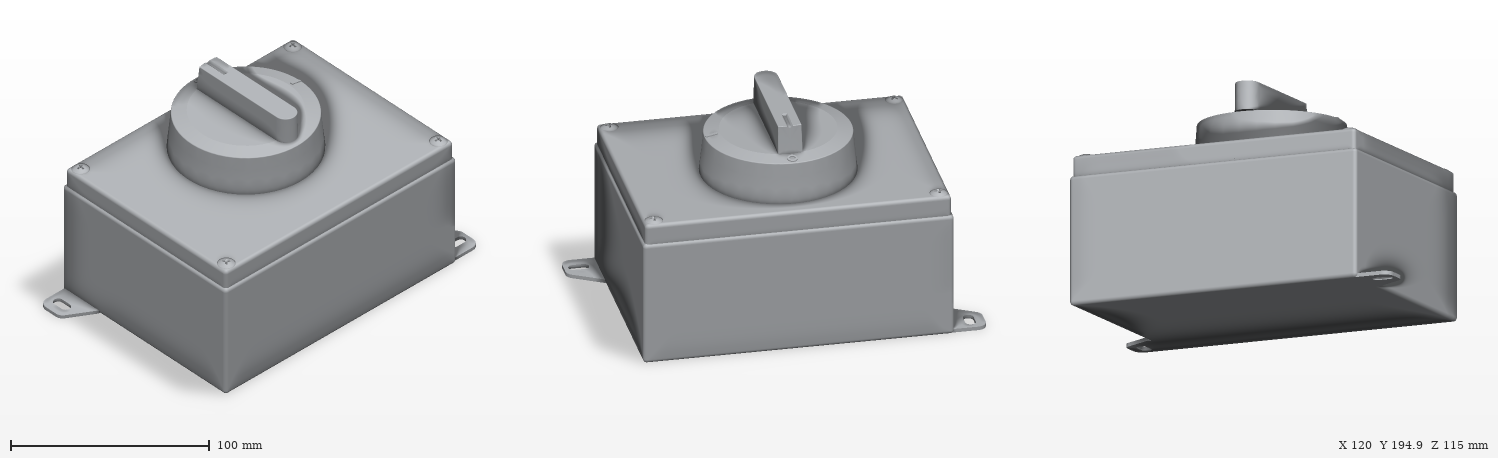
import cadquery as cq
import math

BOX_X = 120.0
BOX_Y = 159.9
BOX_SHOULDER = 66.5
BOX_TOP = 67.0
EDGE_RADIUS = 2.0

EAR_THICKNESS = 2.0
EAR_REACH = 17.5
EAR_SIDE_INSET = 1.8
EAR_ROOT_WIDTH = 25.2
EAR_SLOPE = 60.0
EAR_CORNER_RADIUS = 4.9
EAR_SLOT_LENGTH = 10.7
EAR_SLOT_WIDTH = 5.5
EAR_SLOT_X = 49.5
EAR_SLOT_Y = 89.9

LID_INSET = 1.2
LID_X = BOX_X - 2 * LID_INSET
LID_Y = BOX_Y - 2 * LID_INSET
LID_TOP = 77.0

SCREW_X = 53.5
SCREW_Y = 73.3
SCREW_RADIUS = 4.7
SCREW_DOME_RADIUS = 4.3
SCREW_SEAT = 76.6
SCREW_TOP = 78.4
DOME_RISE = SCREW_TOP - LID_TOP
DOME_SPHERE_RADIUS = (SCREW_DOME_RADIUS**2 + DOME_RISE**2) / (2 * DOME_RISE)
CROSS_LENGTH = 5.5
CROSS_WIDTH = 1.2
CROSS_DEPTH = 2.0
SKEWED_TURN = 45.0

KNOB_X = -10.0
DIAL_BASE_RADIUS = 40.0
DIAL_RIM_RADIUS = 37.8
DIAL_RIM_Z = 98.7
DIAL_FACE_RADIUS = 29.8
DIAL_FACE_Z = 100.2
DIAL_EDGE_RADIUS = 0.5

GRIP_TOP = 115.0
GRIP_WIDTH = 12.7
GRIP_EDGE_RADIUS = 0.4
GRIP_NOSE_REACH = 35.3
GRIP_DRAFT = 1.0
GRIP_TAIL_RADIUS = 30.2
GRIP_TAIL_TAPER = 1.8
GRIP_GROOVE_WIDTH = 3.1
GRIP_GROOVE_END = -14.5
GRIP_GROOVE_DEPTH = 1.0
GRIP_GROOVE_DRAFT = 45.0

MARK_HEIGHT = 0.5
MARK_BAR_WIDTH = 1.8
MARK_BAR_INNER = 31.2
MARK_BAR_OUTER = 37.2
MARK_RING_CENTRE = 34.3
MARK_RING_OUTER = 2.5
MARK_RING_INNER = 1.5


def rounded_block(size_x, size_y, bottom, top, rounded_edges):
    """Block with rounded upright edges and the given horizontal edges rounded too."""
    block = cq.Workplane("XY", origin=(0, 0, bottom)).rect(size_x, size_y).extrude(top - bottom)
    return block.edges(rounded_edges).fillet(EDGE_RADIUS)


def make_ear(slot_angle):
    """Mounting ear at the -X end of the -Y side of the box."""
    side_x = -BOX_X / 2 + EAR_SIDE_INSET
    root_y = -BOX_Y / 2
    tip_y = root_y - EAR_REACH
    root_end_x = side_x + EAR_ROOT_WIDTH
    tip_end_x = root_end_x - EAR_REACH / math.tan(math.radians(EAR_SLOPE))
    inner_y = root_y + 2 * EDGE_RADIUS
    ear = (
        cq.Workplane("XY")
        .polyline([
            (side_x, inner_y), (side_x, tip_y), (tip_end_x, tip_y),
            (root_end_x, root_y), (root_end_x, inner_y),
        ])
        .close()
        .extrude(EAR_THICKNESS)
        .edges("|Z and <Y")
        .fillet(EAR_CORNER_RADIUS)
    )
    slot = (
        cq.Workplane("XY", origin=(-EAR_SLOT_X, -EAR_SLOT_Y, 0))
        .slot2D(EAR_SLOT_LENGTH, EAR_SLOT_WIDTH, slot_angle)
        .extrude(EAR_THICKNESS)
    )
    return ear.cut(slot)


def make_box():
    block = rounded_block(BOX_X, BOX_Y, 0, BOX_SHOULDER, "|Z or >Z or <Z")
    collar = rounded_block(LID_X, LID_Y, BOX_SHOULDER - EDGE_RADIUS, BOX_TOP, "|Z")
    near_ear = make_ear(0)
    far_ear = make_ear(90).rotate((0, 0, 0), (0, 0, 1), 180)
    return block.union(collar).union(near_ear).union(far_ear)


def make_screw(x, y, turn):
    """Screw head with a domed top and a cross recess turned by the given angle."""
    head = (
        cq.Workplane("XZ")
        .moveTo(0, SCREW_SEAT)
        .lineTo(SCREW_RADIUS, SCREW_SEAT)
        .lineTo(SCREW_DOME_RADIUS, LID_TOP)
        .radiusArc((0, SCREW_TOP), -DOME_SPHERE_RADIUS)
        .close()
        .revolve(360, (0, 0), (0, 1))
    )
    arm = (
        cq.Workplane("XZ")
        .polyline([
            (-CROSS_LENGTH / 2, SCREW_TOP), (0, SCREW_TOP - CROSS_DEPTH), (CROSS_LENGTH / 2, SCREW_TOP),
        ])
        .close()
        .extrude(CROSS_WIDTH / 2, both=True)
    )
    for angle in (turn, turn + 90):
        head = head.cut(arm.rotate((0, 0, 0), (0, 0, 1), angle))
    return head.translate((x, y, 0))


def make_lid():
    lid = rounded_block(LID_X, LID_Y, BOX_TOP, LID_TOP, "|Z or >Z")
    seats = (
        cq.Workplane("XY", origin=(0, 0, SCREW_SEAT))
        .rect(2 * SCREW_X, 2 * SCREW_Y, forConstruction=True)
        .vertices()
        .circle(SCREW_RADIUS)
        .extrude(LID_TOP - SCREW_SEAT)
    )
    return lid.cut(seats)


def make_dial():
    """Conical dial body with a shallow cone rising to a flat face."""
    profile = [
        (0, LID_TOP), (DIAL_BASE_RADIUS, LID_TOP), (DIAL_RIM_RADIUS, DIAL_RIM_Z),
        (DIAL_FACE_RADIUS, DIAL_FACE_Z), (0, DIAL_FACE_Z),
    ]
    dial = cq.Workplane("XZ").polyline(profile).close().revolve(360, (0, 0), (0, 1))
    rim = cq.selectors.RadiusNthSelector(1)
    return dial.edges(rim).fillet(DIAL_EDGE_RADIUS)


def make_grip():
    """Bar with a round nose at +X and a tail that follows a cone about the knob axis."""
    height = GRIP_TOP - DIAL_FACE_Z
    half_width = GRIP_WIDTH / 2
    nose_start = GRIP_NOSE_REACH - half_width
    tail_x = -GRIP_NOSE_REACH
    bar = (
        cq.Workplane("XY", origin=(0, 0, DIAL_FACE_Z))
        .moveTo(tail_x, -half_width)
        .lineTo(nose_start, -half_width)
        .threePointArc((GRIP_NOSE_REACH, 0), (nose_start, half_width))
        .lineTo(tail_x, half_width)
        .close()
        .extrude(height, taper=GRIP_DRAFT)
    )
    tail_cone = cq.Workplane(cq.Solid.makeCone(
        GRIP_TAIL_RADIUS, GRIP_TAIL_RADIUS - GRIP_TAIL_TAPER, height, pnt=(0, 0, DIAL_FACE_Z),
    ))
    nose_side = (
        cq.Workplane("XY", origin=(0, 0, DIAL_FACE_Z))
        .rect(2 * GRIP_NOSE_REACH, GRIP_WIDTH)
        .extrude(height)
        .translate((GRIP_NOSE_REACH, 0, 0))
    )
    grip = bar.intersect(tail_cone.union(nose_side))
    tail_corners = cq.selectors.BoxSelector(
        (-GRIP_NOSE_REACH, -GRIP_WIDTH, DIAL_FACE_Z + height / 4),
        (-GRIP_TAIL_RADIUS / 2, GRIP_WIDTH, DIAL_FACE_Z + height * 3 / 4),
    )
    grip = grip.edges(tail_corners).fillet(GRIP_EDGE_RADIUS)
    grip = grip.edges(">Z").fillet(GRIP_EDGE_RADIUS)
    return grip.cut(make_grip_groove())


def make_grip_groove():
    """Groove with sloping walls, open at the tail of the grip."""
    start_x = -GRIP_NOSE_REACH
    return (
        cq.Workplane("XY", origin=(0, 0, GRIP_TOP))
        .center((start_x + GRIP_GROOVE_END) / 2, 0)
        .rect(GRIP_GROOVE_END - start_x, GRIP_GROOVE_WIDTH)
        .extrude(-GRIP_GROOVE_DEPTH, taper=GRIP_GROOVE_DRAFT)
    )


def make_marks():
    """Raised bar at +Y and raised ring at -X, both following the sloping rim of the dial."""
    sloping_layer = (
        cq.Workplane("XZ")
        .polyline([
            (DIAL_RIM_RADIUS, DIAL_RIM_Z - MARK_HEIGHT), (DIAL_RIM_RADIUS, DIAL_RIM_Z + MARK_HEIGHT),
            (DIAL_FACE_RADIUS, DIAL_FACE_Z + MARK_HEIGHT), (DIAL_FACE_RADIUS, DIAL_FACE_Z - MARK_HEIGHT),
        ])
        .close()
        .revolve(360, (0, 0), (0, 1))
    )
    plane = cq.Workplane("XY", origin=(0, 0, LID_TOP))
    height = GRIP_TOP - LID_TOP
    bar = (
        plane.center(0, (MARK_BAR_INNER + MARK_BAR_OUTER) / 2)
        .rect(MARK_BAR_WIDTH, MARK_BAR_OUTER - MARK_BAR_INNER)
        .extrude(height)
    )
    ring = (
        plane.center(-MARK_RING_CENTRE, 0)
        .circle(MARK_RING_OUTER)
        .circle(MARK_RING_INNER)
        .extrude(height)
    )
    return sloping_layer.intersect(bar.union(ring))


def make_knob():
    knob = make_dial().union(make_marks()).union(make_grip())
    return knob.translate((KNOB_X, 0, 0))


box = make_box()
lid = make_lid()
knob = make_knob()
screws = [
    make_screw(x, y, SKEWED_TURN if x > 0 > y else 0)
    for x in (-SCREW_X, SCREW_X)
    for y in (-SCREW_Y, SCREW_Y)
]

result = cq.Compound.makeCompound([
    box.val(), lid.val(), knob.val(), *[screw.val() for screw in screws],
])